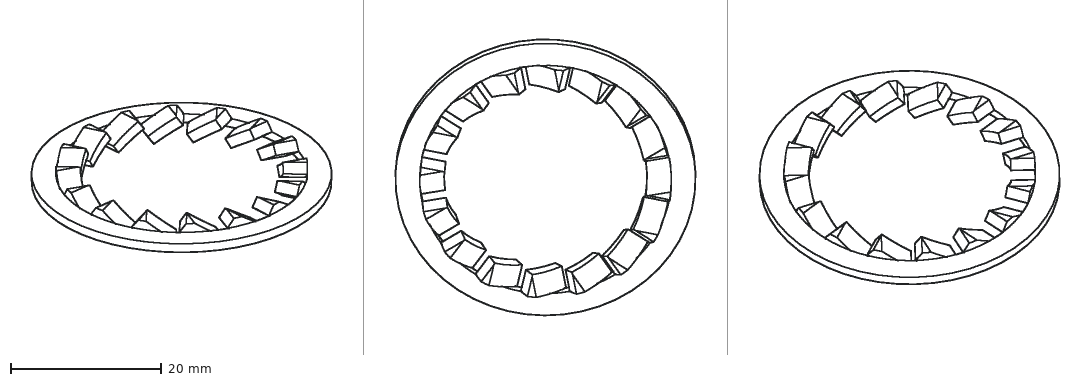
import cadquery as cq

outer_radius = 20.0
tooth_root_radius = 16.75
tooth_tip_radius = 13.5
total_height = 3.9
ring_thickness = total_height / 3
tooth_count = 16
gap_width = 0.5
steep_run = 0.9
slope_run = 3.95

half_height = total_height / 2
half_ring = ring_thickness / 2
half_gap = gap_width / 2
pitch_angle = 360 / tooth_count


def annulus(radius_out, radius_in, height):
    return (
        cq.Workplane("XY", origin=(0, 0, -height / 2))
        .circle(radius_out)
        .circle(radius_in)
        .extrude(height)
    )


def tooth_side():
    """Prism along -Y holding the steep upper face and long underside next to one gap."""
    far_side = tooth_root_radius
    return (
        cq.Workplane("XZ")
        .moveTo(half_gap, half_ring)
        .lineTo(half_gap + steep_run, half_height)
        .lineTo(far_side, half_height)
        .lineTo(far_side, -half_height)
        .lineTo(half_gap + slope_run, -half_height)
        .close()
        .extrude(outer_radius)
    )


def make_tooth():
    """Tooth between the gap along -Y and the next gap counterclockwise."""
    first_side = tooth_side()
    second_side = (
        tooth_side()
        .rotate((0, 0, 0), (0, 1, 0), 180)
        .rotate((0, 0, 0), (0, 0, 1), pitch_angle)
    )
    tooth_band = annulus(tooth_root_radius, tooth_tip_radius, total_height)
    return tooth_band.intersect(first_side).intersect(second_side)


ring = annulus(outer_radius, tooth_root_radius, ring_thickness)
tooth = make_tooth()
result = ring
for index in range(tooth_count):
    result = result.union(tooth.rotate((0, 0, 0), (0, 0, 1), index * pitch_angle))